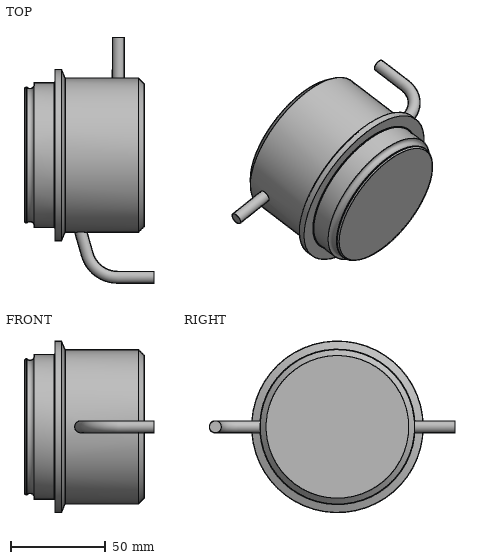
import cadquery as cq
import math

face_radius = 70.8 / 2
lip_radius = 72.2 / 2
collar_radius = 76.9 / 2
flange_radius = 91.0 / 2
body_radius = 81.9 / 2
lip_start = 0.8
lip_end = 1.3
collar_start = 5.2
groove_fillet = 2.0
flange_start = 16.2
flange_end = 19.7
corner_relief = 0.4
taper_end = 21.5
taper_blend = 0.3
body_end = 63.6
end_chamfer = 3.1

pin_radius = 6.4 / 2
pin_root = 32.6
straight_pin_x = 49.8
straight_pin_tip = 62.5
overall_y = 130.4
bent_pin_tip_x = 68.8
bend_end_x = 49.4
bend_radius = 16.7
lean = math.radians(16)


def turned_body():
    lip_rise = lip_radius - face_radius
    groove_floor_start = lip_end + math.sqrt(groove_fillet**2 - (groove_fillet - lip_rise) ** 2)
    profile = (
        cq.Workplane("XY")
        .moveTo(0, 0)
        .lineTo(0, face_radius)
        .lineTo(lip_start, lip_radius)
        .lineTo(lip_end, lip_radius)
        .radiusArc((groove_floor_start, face_radius), -groove_fillet)
        .lineTo(collar_start - groove_fillet, face_radius)
        .radiusArc((collar_start, face_radius + groove_fillet), -groove_fillet)
        .lineTo(collar_start, collar_radius)
        .lineTo(flange_start - corner_relief, collar_radius)
        .lineTo(flange_start, collar_radius + corner_relief)
        .lineTo(flange_start, flange_radius)
        .lineTo(flange_end, flange_radius)
        .lineTo(taper_end, body_radius + taper_blend)
        .lineTo(taper_end + taper_blend, body_radius)
        .lineTo(body_end - end_chamfer, body_radius)
        .lineTo(body_end, body_radius - end_chamfer)
        .lineTo(body_end, 0)
        .close()
    )
    return profile.revolve(360, (0, 0, 0), (1, 0, 0))


def straight_pin():
    root_plane = cq.Plane((straight_pin_x, pin_root, 0), (1, 0, 0), (0, 1, 0))
    return cq.Workplane(root_plane).circle(pin_radius).extrude(straight_pin_tip - pin_root)


def bent_pin():
    outer_y = straight_pin_tip - overall_y + pin_radius
    center_y = outer_y + bend_radius

    def bend_point(angle):
        return (bend_end_x - bend_radius * math.cos(angle), center_y - bend_radius * math.sin(angle))

    bend_start = bend_point(lean)
    bend_middle = bend_point((lean + math.pi / 2) / 2)
    root = (bend_start[0] + (bend_start[1] + pin_root) * math.tan(lean), -pin_root)
    path = (
        cq.Workplane("XY")
        .moveTo(*root)
        .lineTo(*bend_start)
        .threePointArc(bend_middle, (bend_end_x, outer_y))
        .lineTo(bent_pin_tip_x, outer_y)
    )
    direction = (math.sin(lean), -math.cos(lean), 0)
    root_plane = cq.Plane((*root, 0), (0, 0, 1), direction)
    return cq.Workplane(root_plane).circle(pin_radius).sweep(path)


result = turned_body().union(straight_pin()).union(bent_pin())